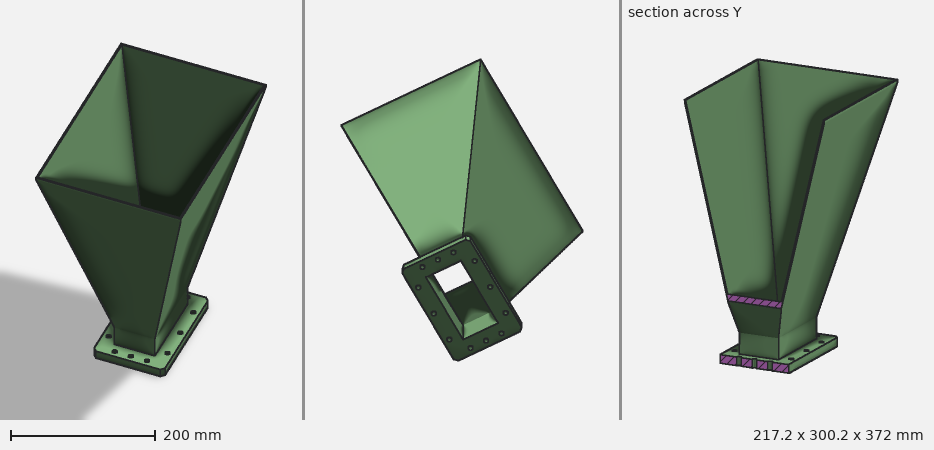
import cadquery as cq

BORE_X = 54.61
BORE_Y = 109.22
WALL = 3.0

MOUTH_X = 217.15
MOUTH_Y = 300.23
RIM_WALL = 2.0

TOTAL_HEIGHT = 372.0
FLANGE_THICKNESS = 13.0
THROAT_HEIGHT = 31.0

FLANGE_X = 106.43
FLANGE_Y = 161.04
FLANGE_CORNER_CHAMFER = 5.0
HOLE_DIAMETER = 6.5
LONG_SIDE_HOLE_X = 44.0
LONG_SIDE_HOLE_PITCH = 45.6
SHORT_SIDE_HOLE_Y = 71.0
SHORT_SIDE_HOLE_PITCH = 24.2

throat_x = BORE_X + 2 * WALL
throat_y = BORE_Y + 2 * WALL
mouth_inner_x = MOUTH_X - 2 * RIM_WALL
mouth_inner_y = MOUTH_Y - 2 * RIM_WALL
flare_base_z = FLANGE_THICKNESS + THROAT_HEIGHT


def block(size_x, size_y, bottom_z, top_z):
    """Upright rectangular block centred on the Z axis."""
    return cq.Workplane("XY").workplane(offset=bottom_z).rect(size_x, size_y).extrude(top_z - bottom_z)


def pyramid(base_x, base_y, mouth_x, mouth_y, bottom_z, top_z):
    """Flat-sided flare between two rectangles centred on the Z axis."""
    return (
        cq.Workplane("XY")
        .workplane(offset=bottom_z)
        .rect(base_x, base_y)
        .workplane(offset=top_z - bottom_z)
        .rect(mouth_x, mouth_y)
        .loft(ruled=True)
    )


def horn_outside():
    """Straight throat and flare, filled solid; trimming the flare's sides leaves an upright rim."""
    throat = block(throat_x, throat_y, 0, flare_base_z)
    untrimmed_x = mouth_inner_x + 2 * WALL
    untrimmed_y = mouth_inner_y + 2 * WALL
    flare = pyramid(throat_x, throat_y, untrimmed_x, untrimmed_y, flare_base_z, TOTAL_HEIGHT)
    trim = block(MOUTH_X, MOUTH_Y, flare_base_z, TOTAL_HEIGHT)
    return throat.union(flare.intersect(trim))


def horn_cavity():
    """Straight bore, then an inner flare that runs all the way to the top edge."""
    bore = block(BORE_X, BORE_Y, 0, flare_base_z)
    flare = pyramid(BORE_X, BORE_Y, mouth_inner_x, mouth_inner_y, flare_base_z, TOTAL_HEIGHT)
    return bore.union(flare)


def hole_positions():
    """Three holes along each of the four flange sides."""
    positions = []
    for side in (-1, 1):
        for step in (-1, 0, 1):
            positions.append((side * LONG_SIDE_HOLE_X, step * LONG_SIDE_HOLE_PITCH))
            positions.append((step * SHORT_SIDE_HOLE_PITCH, side * SHORT_SIDE_HOLE_Y))
    return positions


def flange():
    """Chamfered rectangular flange with through bolt holes."""
    plate = block(FLANGE_X, FLANGE_Y, 0, FLANGE_THICKNESS).edges("|Z").chamfer(FLANGE_CORNER_CHAMFER)
    return plate.faces(">Z").workplane().pushPoints(hole_positions()).hole(HOLE_DIAMETER)


result = flange().union(horn_outside()).cut(horn_cavity())